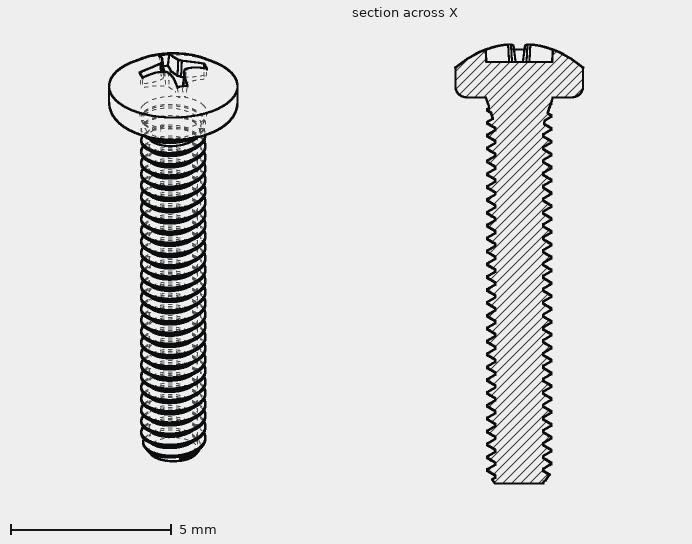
import cadquery as cq
import math

shank_length = 12.0
thread_diameter = 2.0
thread_pitch = 0.4
head_diameter = 4.0

dome_height = 1.69
rim_top_height = 0.945
rim_chamfer_width = 0.05
rim_chamfer_height = 0.025
rim_bottom_height = 0.37

recess_depth = 0.58
recess_arm_length = 1.05
recess_arm_half_width = 0.188
recess_flare_start = 0.64
recess_corner_near = 0.26
recess_corner_far = 0.35
recess_wall_draft = 0.075
recess_tip_draft = 0.03
recess_corner_draft = 0.035

neck_top_radius = 1.05
neck_length = 0.85

tip_radius = 0.76
limit_radius = 1.15
tip_chamfer_height = 0.57

flank_half_angle = 30.0
thread_depth_ratio = 0.6134
thread_depth = thread_depth_ratio * thread_pitch
crest_width = thread_pitch / 8
thread_end_height = 0.325
core_overlap = 0.03
fuse_tolerance = 5e-4

thread_radius = thread_diameter / 2
core_radius = thread_radius - thread_depth
head_radius = head_diameter / 2


def make_head():
    """Revolved head with a spherical dome and a rounded lower edge."""
    dome_edge_radius = head_radius - rim_chamfer_width
    dome_edge_height = rim_top_height + rim_chamfer_height
    dome_rise = dome_height - dome_edge_height
    dome_radius = (dome_edge_radius**2 + dome_rise**2) / (2 * dome_rise)
    dome_middle_x = dome_edge_radius / 2
    dome_middle_z = dome_height - dome_radius + math.sqrt(dome_radius**2 - dome_middle_x**2)
    return (
        cq.Workplane("XZ")
        .moveTo(0, 0)
        .lineTo(head_radius - rim_bottom_height, 0)
        .radiusArc((head_radius, rim_bottom_height), -rim_bottom_height)
        .lineTo(head_radius, rim_top_height)
        .lineTo(dome_edge_radius, dome_edge_height)
        .threePointArc((dome_middle_x, dome_middle_z), (0, dome_height))
        .close()
        .revolve(360, (0, 0, 0), (0, 1, 0))
    )


def recess_outline(draft):
    """Corner points of the cross, drawn inward by a fraction of the full draft."""
    half_width = recess_arm_half_width - draft * recess_wall_draft
    tip = recess_arm_length - draft * recess_tip_draft
    near = recess_corner_near - draft * recess_corner_draft
    far = recess_corner_far - draft * recess_corner_draft
    quarter = [
        (tip, -half_width),
        (tip, half_width),
        (recess_flare_start, half_width),
        (far, near),
        (near, far),
        (half_width, recess_flare_start),
    ]
    points = []
    for turn in range(4):
        cos_turn = math.cos(turn * math.pi / 2)
        sin_turn = math.sin(turn * math.pi / 2)
        points += [(x * cos_turn - y * sin_turn, x * sin_turn + y * cos_turn) for x, y in quarter]
    return points


def make_recess():
    """Cross-shaped cutter whose arms flare into flattened inner corners."""
    return (
        cq.Workplane("XY", origin=(0, 0, dome_height))
        .polyline(recess_outline(0))
        .close()
        .workplane(offset=-recess_depth)
        .polyline(recess_outline(1))
        .close()
        .loft(ruled=True)
    )


def make_core():
    """Plain shank at the thread root, widening into the neck."""
    return (
        cq.Workplane("XZ")
        .polyline([
            (0, 0),
            (neck_top_radius, 0),
            (core_radius, -neck_length),
            (core_radius, -shank_length),
            (0, -shank_length),
        ])
        .close()
        .revolve(360, (0, 0, 0), (0, 1, 0))
    )


def make_thread():
    """Right-hand helical ridge, running past both ends of the shank."""
    turns = math.ceil(shank_length / thread_pitch) + 1
    start_z = thread_end_height - turns * thread_pitch
    inner_radius = core_radius - core_overlap
    half_crest = crest_width / 2
    half_base = half_crest + (thread_radius - inner_radius) * math.tan(math.radians(flank_half_angle))
    helix = cq.Wire.makeHelix(thread_pitch, turns * thread_pitch, thread_radius)
    return (
        cq.Workplane("XZ")
        .polyline([
            (inner_radius, -half_base),
            (thread_radius, -half_crest),
            (thread_radius, half_crest),
            (inner_radius, half_base),
        ])
        .close()
        .sweep(cq.Workplane(obj=helix), isFrenet=True)
        .translate((0, 0, start_z))
    )


def make_shank_limit():
    """Envelope of the shank below the head, chamfered at the tip."""
    return (
        cq.Workplane("XZ")
        .polyline([
            (0, 0),
            (limit_radius, 0),
            (limit_radius, tip_chamfer_height - shank_length),
            (tip_radius, -shank_length),
            (0, -shank_length),
        ])
        .close()
        .revolve(360, (0, 0, 0), (0, 1, 0))
    )


thread = make_thread().intersect(make_shank_limit())
shank = make_core().union(thread, tol=fuse_tolerance)
result = make_head().cut(make_recess()).union(shank)